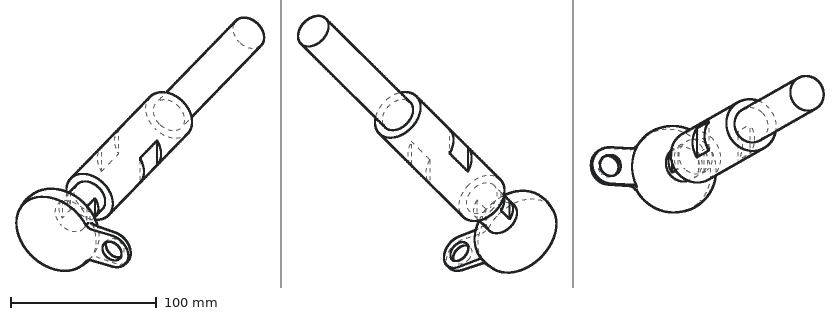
import cadquery as cq
import math

TOTAL_LENGTH = 283.0

ROD_RADIUS = 12.2
SLEEVE_RADIUS = 18.0
SLEEVE_START = 52.0
SLEEVE_LENGTH = 115.2
SLEEVE_FLAT_WIDTH = 30.0
SLEEVE_FLAT_LENGTH = 25.0
NECK_FLAT_WIDTH = 19.0
NECK_FLAT_LENGTH = 12.0
NECK_FLAT_START = 30.3
JOINT_HEIGHT = 25.0

FOOT_RADIUS = 30.0
BASE_RADIUS = 29.1
RIM_HEIGHT = 6.0
SHOULDER_RADIUS = 29.7
SHOULDER_HEIGHT = 8.5
SHOULDER_ROUND = 7.5
SLOPE_ANGLE = math.radians(26)
COLLAR_HEIGHT = 19.8
COLLAR_RADIUS = ROD_RADIUS + JOINT_HEIGHT - COLLAR_HEIGHT

LUG_RADIUS = 12.7
LUG_CENTER = 58.0 - LUG_RADIUS
LUG_HOLE_RADIUS = 7.4
LUG_CORNER_ROUND = 5.0
LUG_ROOT_RADIUS = (BASE_RADIUS + FOOT_RADIUS) / 2
LUG_INNER_THICKNESS = 6.0
LUG_OUTER_THICKNESS = 3.7
LUG_INNER_X = 25.5


def revolve_about_y(profile):
    return profile.close().revolve(360, (0, 0, 0), (0, 1, 0))


def cut_flats(body, radius, across_flats, start, length):
    """Cut two parallel wrench flats facing -X and +X."""
    depth = radius - across_flats / 2
    for side in (-1, 1):
        cutter = cq.Workplane("XY").box(depth, length, 2 * radius).translate(
            (side * (across_flats + depth) / 2, start + length / 2, 0)
        )
        body = body.cut(cutter)
    return body


def make_spindle():
    sleeve_end = SLEEVE_START + SLEEVE_LENGTH
    profile = (
        cq.Workplane("XY")
        .moveTo(0, JOINT_HEIGHT)
        .lineTo(ROD_RADIUS, JOINT_HEIGHT)
        .lineTo(ROD_RADIUS, SLEEVE_START)
        .lineTo(SLEEVE_RADIUS, SLEEVE_START)
        .lineTo(SLEEVE_RADIUS, sleeve_end)
        .lineTo(ROD_RADIUS, sleeve_end)
        .lineTo(ROD_RADIUS, TOTAL_LENGTH)
        .lineTo(0, TOTAL_LENGTH)
    )
    body = revolve_about_y(profile)
    body = cut_flats(body, ROD_RADIUS, NECK_FLAT_WIDTH, NECK_FLAT_START, NECK_FLAT_LENGTH)
    sleeve_flat_start = SLEEVE_START + (SLEEVE_LENGTH - SLEEVE_FLAT_LENGTH) / 2
    return cut_flats(body, SLEEVE_RADIUS, SLEEVE_FLAT_WIDTH, sleeve_flat_start, SLEEVE_FLAT_LENGTH)


def make_foot_disc():
    round_center = SHOULDER_RADIUS - SHOULDER_ROUND

    def round_point(angle):
        return (
            round_center + SHOULDER_ROUND * math.cos(angle),
            SHOULDER_HEIGHT + SHOULDER_ROUND * math.sin(angle),
        )

    round_end_angle = math.pi / 2 - SLOPE_ANGLE
    profile = (
        cq.Workplane("XY")
        .moveTo(0, 0)
        .lineTo(BASE_RADIUS, 0)
        .lineTo(FOOT_RADIUS, RIM_HEIGHT)
        .lineTo(SHOULDER_RADIUS, SHOULDER_HEIGHT)
        .threePointArc(round_point(round_end_angle / 2), round_point(round_end_angle))
        .lineTo(COLLAR_RADIUS, COLLAR_HEIGHT)
        .lineTo(ROD_RADIUS, JOINT_HEIGHT)
        .lineTo(0, JOINT_HEIGHT)
    )
    return revolve_about_y(profile)


def make_lug():
    """Sloping lug, blended into the disc by a concave round on each side."""
    blend_z = LUG_RADIUS + LUG_CORNER_ROUND
    blend_distance = LUG_ROOT_RADIUS + LUG_CORNER_ROUND
    blend_x = math.sqrt(blend_distance**2 - blend_z**2)
    root_x = blend_x * LUG_ROOT_RADIUS / blend_distance
    root_z = blend_z * LUG_ROOT_RADIUS / blend_distance
    middle_angle = (math.atan2(-blend_z, -blend_x) - math.pi / 2) / 2
    middle_x = blend_x + LUG_CORNER_ROUND * math.cos(middle_angle)
    middle_z = blend_z + LUG_CORNER_ROUND * math.sin(middle_angle)
    plate = (
        cq.Workplane("XZ")
        .moveTo(0, root_z)
        .lineTo(root_x, root_z)
        .threePointArc((middle_x, middle_z), (blend_x, LUG_RADIUS))
        .lineTo(LUG_CENTER, LUG_RADIUS)
        .threePointArc((LUG_CENTER + LUG_RADIUS, 0), (LUG_CENTER, -LUG_RADIUS))
        .lineTo(blend_x, -LUG_RADIUS)
        .threePointArc((middle_x, -middle_z), (root_x, -root_z))
        .lineTo(0, -root_z)
        .close()
        .extrude(-LUG_INNER_THICKNESS)
    )
    lug_end = LUG_CENTER + LUG_RADIUS
    wedge = (
        cq.Workplane("XY")
        .moveTo(0, 0)
        .lineTo(lug_end, 0)
        .lineTo(lug_end, LUG_OUTER_THICKNESS)
        .lineTo(LUG_INNER_X, LUG_INNER_THICKNESS)
        .lineTo(0, LUG_INNER_THICKNESS)
        .close()
        .extrude(2 * FOOT_RADIUS, both=True)
    )
    hole = (
        cq.Workplane("XZ")
        .center(LUG_CENTER, 0)
        .circle(LUG_HOLE_RADIUS)
        .extrude(-LUG_INNER_THICKNESS)
    )
    return plate.intersect(wedge).cut(hole)


spindle = make_spindle()
foot = make_foot_disc().union(make_lug())
result = cq.Compound.makeCompound([spindle.val(), *foot.solids().vals()])